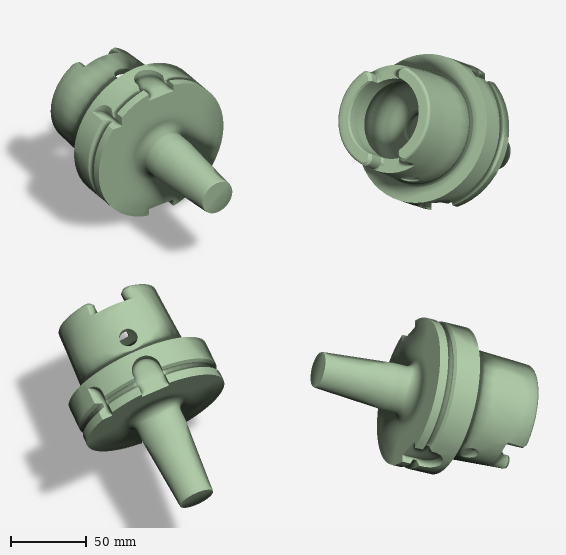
import cadquery as cq
import math

OVERALL_LENGTH = 145.0

SHANK_LENGTH = 50.0
SHANK_TIP_RADIUS = 35.4
SHANK_BASE_RADIUS = 37.7
SHANK_TIP_ROUND = 1.9
SHANK_TIP_X = -SHANK_LENGTH

RELIEF_START = 2.6
RELIEF_NECK_DEPTH = 0.5
RELIEF_STEP = 0.9
RELIEF_FILLET = 1.6
RELIEF_OUTER_RADIUS = 39.3

FLANGE_RADIUS = 50.0
FLANGE_WIDTH = 29.0
GROOVE_CENTRE_X = 19.9
GROOVE_MOUTH_WIDTH = 6.5
GROOVE_FLOOR_WIDTH = 3.5
GROOVE_FLOOR_RADIUS = 46.3
GROOVE_BEVEL_DEPTH = 2.6
GROOVE_FLOOR_FILLET = 0.9

NOSE_RADIUS = 16.0
NOSE_ROOT_FILLET = 6.0
NOSE_CONE_START_X = 44.2
NOSE_TIP_RADIUS = 12.2
NOSE_TIP_EDGE_LENGTH = 1.3
NOSE_TIP_EDGE_DEPTH = 0.3
NOSE_TIP_X = OVERALL_LENGTH - SHANK_LENGTH

BORE_RADIUS = 26.5
BORE_CHAMFER_DEPTH = 0.7
BORE_CHAMFER_LENGTH = 1.7
BORE_LIP_LENGTH = 20.0
CHAMBER_RADIUS = 31.8
CHAMBER_END_X = -2.5
CHAMBER_FLOOR_RADIUS = 24.8
PILOT_RADIUS = 12.3
PILOT_DEPTH = 5.8
PILOT_CHAMFER = 1.2

SLOT_HALF_WIDTH = 9.9
SLOT_SHOULDER_Z = 32.0
SLOT_SHOULDER_RADIUS = 5.4
UPPER_SLOT_DEPTH = 9.9
LOWER_SLOT_DEPTH = 14.8
SLOT_FLOOR_FILLET = 1.6
SLOT_MOUTH_CHAMFER = 2.0
SLOT_INNER_Z = 14.5

CROSS_HOLE_RADIUS = 6.1
CROSS_HOLE_X = -15.0
CROSS_HOLE_CHAMFER = 0.3

KEYWAY_HALF_WIDTH = 9.9
KEYWAY_START_X = 5.0
KEYWAY_FLOOR_Z = 44.0
POCKET_FLOOR_FILLET = 0.5
NOTCH_WALL_Y = -31.5
NOTCH_FLOOR_Z = 31.9
NOTCH_CORNER_RADIUS = 8.7

CLEARANCE = 14.5


def revolve_about_axis(profile):
    """Turn an (axial, radial) half profile into a solid about the X axis."""
    return profile.close().revolve(360, (0, 0, 0), (1, 0, 0))


def arc_middle(centre_u, centre_v, radius, angle):
    """Point on a circle of a sketch, at an angle in degrees from its first axis."""
    direction = math.radians(angle)
    along_u = radius * math.cos(direction)
    along_v = radius * math.sin(direction)
    return (centre_u + along_u, centre_v + along_v)


def make_outer_body():
    """Shank, flange and nose as one turned solid, before the cuts."""
    neck_radius = SHANK_BASE_RADIUS - RELIEF_NECK_DEPTH
    neck_end_x = -RELIEF_STEP
    relief_floor_x = neck_end_x + RELIEF_FILLET
    round_centre_x = SHANK_TIP_X + SHANK_TIP_ROUND
    round_centre_radius = SHANK_TIP_RADIUS - SHANK_TIP_ROUND
    nose_root_x = FLANGE_WIDTH + NOSE_ROOT_FILLET
    nose_root_radius = NOSE_RADIUS + NOSE_ROOT_FILLET
    profile = (
        cq.Workplane("XY")
        .moveTo(SHANK_TIP_X, 0)
        .lineTo(SHANK_TIP_X, round_centre_radius)
        .threePointArc(
            arc_middle(round_centre_x, round_centre_radius, SHANK_TIP_ROUND, 135),
            (round_centre_x, SHANK_TIP_RADIUS),
        )
        .lineTo(-RELIEF_START, SHANK_BASE_RADIUS)
        .lineTo(neck_end_x - RELIEF_STEP, neck_radius)
        .lineTo(neck_end_x, neck_radius)
        .threePointArc(
            arc_middle(neck_end_x, neck_radius + RELIEF_FILLET, RELIEF_FILLET, -45),
            (relief_floor_x, neck_radius + RELIEF_FILLET),
        )
        .lineTo(relief_floor_x, RELIEF_OUTER_RADIUS)
        .lineTo(0, RELIEF_OUTER_RADIUS)
        .lineTo(0, FLANGE_RADIUS)
        .lineTo(FLANGE_WIDTH, FLANGE_RADIUS)
        .lineTo(FLANGE_WIDTH, nose_root_radius)
        .threePointArc(
            arc_middle(nose_root_x, nose_root_radius, NOSE_ROOT_FILLET, 225),
            (nose_root_x, NOSE_RADIUS),
        )
        .lineTo(NOSE_CONE_START_X, NOSE_RADIUS)
        .lineTo(NOSE_TIP_X - NOSE_TIP_EDGE_LENGTH, NOSE_TIP_RADIUS)
        .lineTo(NOSE_TIP_X, NOSE_TIP_RADIUS - NOSE_TIP_EDGE_DEPTH)
        .lineTo(NOSE_TIP_X, 0)
    )
    return revolve_about_axis(profile)


def make_gripper_groove():
    """Ring cut around the flange, with bevelled mouth and filleted floor corners."""
    half_mouth = GROOVE_MOUTH_WIDTH / 2
    half_floor = GROOVE_FLOOR_WIDTH / 2
    half_flat = half_floor - GROOVE_FLOOR_FILLET
    bevel_radius = FLANGE_RADIUS - GROOVE_BEVEL_DEPTH
    fillet_radius = GROOVE_FLOOR_RADIUS + GROOVE_FLOOR_FILLET
    profile = (
        cq.Workplane("XY")
        .moveTo(GROOVE_CENTRE_X - half_mouth, FLANGE_RADIUS + CLEARANCE)
        .lineTo(GROOVE_CENTRE_X - half_mouth, FLANGE_RADIUS)
        .lineTo(GROOVE_CENTRE_X - half_floor, bevel_radius)
        .lineTo(GROOVE_CENTRE_X - half_floor, fillet_radius)
        .threePointArc(
            arc_middle(GROOVE_CENTRE_X - half_flat, fillet_radius, GROOVE_FLOOR_FILLET, 225),
            (GROOVE_CENTRE_X - half_flat, GROOVE_FLOOR_RADIUS),
        )
        .lineTo(GROOVE_CENTRE_X + half_flat, GROOVE_FLOOR_RADIUS)
        .threePointArc(
            arc_middle(GROOVE_CENTRE_X + half_flat, fillet_radius, GROOVE_FLOOR_FILLET, -45),
            (GROOVE_CENTRE_X + half_floor, fillet_radius),
        )
        .lineTo(GROOVE_CENTRE_X + half_floor, bevel_radius)
        .lineTo(GROOVE_CENTRE_X + half_mouth, FLANGE_RADIUS)
        .lineTo(GROOVE_CENTRE_X + half_mouth, FLANGE_RADIUS + CLEARANCE)
    )
    return revolve_about_axis(profile)


def make_bore():
    """Lipped bore opening into a wider chamber, with a blind pilot hole in its floor."""
    lip_end_x = SHANK_TIP_X + BORE_LIP_LENGTH
    floor_fillet = CHAMBER_RADIUS - CHAMBER_FLOOR_RADIUS
    fillet_start_x = CHAMBER_END_X - floor_fillet
    profile = (
        cq.Workplane("XY")
        .moveTo(SHANK_TIP_X, 0)
        .lineTo(SHANK_TIP_X, BORE_RADIUS + BORE_CHAMFER_DEPTH)
        .lineTo(SHANK_TIP_X + BORE_CHAMFER_LENGTH, BORE_RADIUS)
        .lineTo(lip_end_x, BORE_RADIUS)
        .lineTo(lip_end_x, CHAMBER_RADIUS)
        .lineTo(fillet_start_x, CHAMBER_RADIUS)
        .threePointArc(
            arc_middle(fillet_start_x, CHAMBER_FLOOR_RADIUS, floor_fillet, 45),
            (CHAMBER_END_X, CHAMBER_FLOOR_RADIUS),
        )
        .lineTo(CHAMBER_END_X, PILOT_RADIUS)
        .lineTo(CHAMBER_END_X + PILOT_CHAMFER, PILOT_RADIUS - PILOT_CHAMFER)
        .lineTo(CHAMBER_END_X + PILOT_DEPTH, PILOT_RADIUS - PILOT_CHAMFER)
        .lineTo(CHAMBER_END_X + PILOT_DEPTH, 0)
    )
    return revolve_about_axis(profile)


def slot_outline(growth):
    """Slot section looking along X, widened evenly on the flanks and shoulders by growth."""
    half_width = SLOT_HALF_WIDTH + growth
    shoulder_z = SLOT_SHOULDER_Z - growth
    shoulder_radius = SLOT_SHOULDER_RADIUS - growth
    shoulder_y = half_width + shoulder_radius
    arc_centre_z = shoulder_z - shoulder_radius
    outer_y = FLANGE_RADIUS / 2
    outer_z = SHANK_BASE_RADIUS + CLEARANCE
    middle = arc_middle(shoulder_y, arc_centre_z, shoulder_radius, 135)
    return (
        cq.Workplane("YZ", origin=(SHANK_TIP_X, 0, 0))
        .moveTo(-half_width, SLOT_INNER_Z)
        .lineTo(half_width, SLOT_INNER_Z)
        .lineTo(half_width, arc_centre_z)
        .threePointArc(middle, (shoulder_y, shoulder_z))
        .lineTo(outer_y, shoulder_z)
        .lineTo(outer_y, outer_z)
        .lineTo(-outer_y, outer_z)
        .lineTo(-outer_y, shoulder_z)
        .lineTo(-shoulder_y, shoulder_z)
        .threePointArc((-middle[0], middle[1]), (-half_width, arc_centre_z))
        .close()
    )


def make_drive_slot(depth):
    """Upper drive slot with a filleted floor and a chamfered mouth."""
    slot = slot_outline(0).extrude(depth).faces(">X").edges().fillet(SLOT_FLOOR_FILLET)
    chamfer_shift = cq.Location(cq.Vector(SLOT_MOUTH_CHAMFER, 0, 0))
    inner_section = slot_outline(0).val().moved(chamfer_shift)
    mouth_section = slot_outline(SLOT_MOUTH_CHAMFER).val()
    mouth = cq.Solid.makeLoft([mouth_section, inner_section], True)
    return slot.union(cq.Workplane(mouth))


def make_keyway():
    """Upper round-ended keyway, open towards the nose."""
    round_centre_x = KEYWAY_START_X + KEYWAY_HALF_WIDTH
    open_end_x = FLANGE_WIDTH + CLEARANCE
    return (
        cq.Workplane("XY", origin=(0, 0, KEYWAY_FLOOR_Z))
        .moveTo(open_end_x, -KEYWAY_HALF_WIDTH)
        .lineTo(open_end_x, KEYWAY_HALF_WIDTH)
        .lineTo(round_centre_x, KEYWAY_HALF_WIDTH)
        .threePointArc((KEYWAY_START_X, 0), (round_centre_x, -KEYWAY_HALF_WIDTH))
        .close()
        .extrude(CLEARANCE)
        .faces("<Z")
        .edges()
        .fillet(POCKET_FLOOR_FILLET)
    )


def make_corner_notch():
    """Notch on the -Y, +Z side of the flange, with a level floor and an upright wall."""
    return (
        cq.Workplane("XY", origin=(KEYWAY_START_X, NOTCH_WALL_Y, NOTCH_FLOOR_Z))
        .rect(FLANGE_WIDTH, -2 * CLEARANCE, centered=False)
        .extrude(2 * CLEARANCE)
        .edges("|Z and <X and >Y")
        .fillet(NOTCH_CORNER_RADIUS)
        .faces("<Z")
        .edges()
        .fillet(POCKET_FLOOR_FILLET)
    )


def turned_over(solid):
    """The same solid turned half a revolution about the X axis."""
    return solid.rotate((0, 0, 0), (1, 0, 0), 180)


def drill_cross_hole(body):
    """Drill through both walls of the shank and break the two outer rims."""
    hole = (
        cq.Workplane("XY", origin=(CROSS_HOLE_X, 0, 0))
        .circle(CROSS_HOLE_RADIUS)
        .extrude(FLANGE_RADIUS, both=True)
    )
    rim_reach = CROSS_HOLE_RADIUS + CROSS_HOLE_CHAMFER
    drilled = body.cut(hole)
    wall_middle = (CHAMBER_RADIUS + SHANK_BASE_RADIUS) / 2
    for low_z, high_z in ((wall_middle, FLANGE_RADIUS), (-FLANGE_RADIUS, -wall_middle)):
        rim = cq.selectors.BoxSelector(
            (CROSS_HOLE_X - rim_reach, -rim_reach, low_z),
            (CROSS_HOLE_X + rim_reach, rim_reach, high_z),
            boundingbox=True,
        )
        drilled = drilled.edges(rim).chamfer(CROSS_HOLE_CHAMFER)
    return drilled


hollow_body = make_outer_body().cut(make_gripper_groove()).cut(make_bore())

result = (
    drill_cross_hole(hollow_body)
    .cut(make_drive_slot(UPPER_SLOT_DEPTH))
    .cut(turned_over(make_drive_slot(LOWER_SLOT_DEPTH)))
    .cut(make_keyway())
    .cut(turned_over(make_keyway()))
    .cut(make_corner_notch())
)